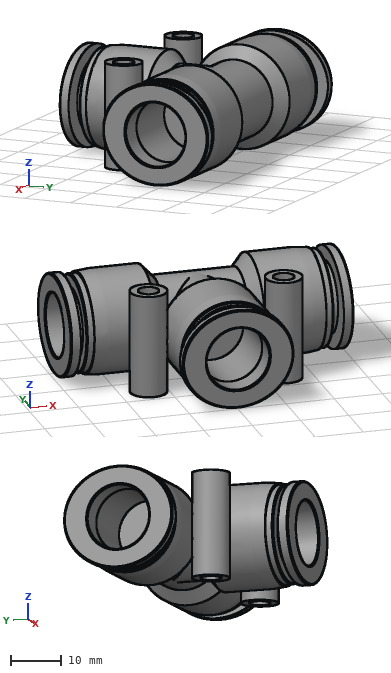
import cadquery as cq
import math

arm_reach = 29.3

tube_diameter = 16.0
barrel_diameter = 21.2
shoulder_diameter = 20.6
mouth_diameter = 20.0
mouth_depth = 3.7
shoulder_depth = 5.3
barrel_depth = 8.25
cone_depth = 18.15
cone_end_depth = 20.6
edge_chamfer = 0.25

sleeve_diameter = 14.8
bore_diameter = 13.0
sleeve_length = 5.15
flange_thickness = 2.05
flange_long_axis = 23.0
flange_short_axis = 20.6

bore_depth = cone_depth

lug_diameter = 7.5
lug_hole_diameter = 4.2
lug_height = barrel_diameter
lug_x = 14.0
lug_y = -14.0

arm_angles = [-90, 0, 90]


def place_arm(shape, angle):
    """Turn a shape built along the -Y arm about the tee centre."""
    return shape.rotate((0, 0, 0), (0, 0, 1), angle)


def arm_cylinder(diameter, start_depth, end_depth):
    """Cylinder on the axis of the -Y arm between two depths."""
    start = cq.Workplane("XZ", origin=(0, start_depth - arm_reach, 0))
    return start.circle(diameter / 2).extrude(start_depth - end_depth)


def make_arm_outside():
    """Barrel with a rounded shoulder, tapering to the tube at the tee centre."""
    barrel_radius = barrel_diameter / 2
    shoulder_radius = shoulder_diameter / 2
    mouth_radius = mouth_diameter / 2
    tube_radius = tube_diameter / 2
    profile = (
        cq.Workplane("XY")
        .moveTo(0, mouth_depth - arm_reach)
        .lineTo(mouth_radius - edge_chamfer, mouth_depth - arm_reach)
        .lineTo(mouth_radius, mouth_depth + edge_chamfer - arm_reach)
        .lineTo(mouth_radius, shoulder_depth - arm_reach)
        .lineTo(shoulder_radius, shoulder_depth - arm_reach)
    )
    run = barrel_depth - shoulder_depth
    rise = barrel_radius - shoulder_radius
    arc_radius = (run**2 + rise**2) / (2 * rise)
    half_angle = math.asin(run / arc_radius) / 2
    arc_middle = (
        barrel_radius - arc_radius * (1 - math.cos(half_angle)),
        barrel_depth - arm_reach - arc_radius * math.sin(half_angle),
    )
    profile = (
        profile.threePointArc(arc_middle, (barrel_radius, barrel_depth - arm_reach))
        .lineTo(barrel_radius, cone_depth - arm_reach)
        .lineTo(tube_radius, cone_end_depth - arm_reach)
        .lineTo(tube_radius, 0)
        .lineTo(0, 0)
        .close()
    )
    return profile.revolve(360, (0, 0, 0), (0, 1, 0))


def make_centre_tube():
    """Straight tube of the run, crossing the tee centre."""
    length = 2 * (arm_reach - cone_end_depth)
    start = cq.Workplane("YZ", origin=(-length / 2, 0, 0))
    return start.circle(tube_diameter / 2).extrude(length)


def make_lug_cylinder(diameter, side):
    """Vertical cylinder on a lug axis; side is -1 or 1 along X."""
    plane = cq.Workplane("XY", origin=(side * lug_x, lug_y, -lug_height / 2))
    return plane.circle(diameter / 2).extrude(lug_height)


def make_tee_body():
    body = make_centre_tube()
    for angle in arm_angles:
        body = body.union(place_arm(make_arm_outside(), angle))
    for side in (-1, 1):
        body = body.union(make_lug_cylinder(lug_diameter, side))
        body = body.cut(make_lug_cylinder(lug_hole_diameter, side))
    seat = arm_cylinder(sleeve_diameter, mouth_depth, sleeve_length)
    bore = arm_cylinder(bore_diameter, mouth_depth, bore_depth)
    for angle in arm_angles:
        body = body.cut(place_arm(seat, angle))
        body = body.cut(place_arm(bore, angle))
    return body


def make_release_sleeve():
    """Sleeve of the -Y arm: elliptical flange, round neck and through bore."""
    flange = (
        cq.Workplane("XZ", origin=(0, -arm_reach, 0))
        .ellipse(flange_long_axis / 2, flange_short_axis / 2)
        .extrude(-flange_thickness)
        .faces("<Y")
        .chamfer(edge_chamfer)
    )
    neck = arm_cylinder(sleeve_diameter, flange_thickness, sleeve_length)
    bore = arm_cylinder(bore_diameter, 0, sleeve_length)
    sleeve = flange.union(neck).cut(bore)
    return sleeve.faces("<Y").edges("%CIRCLE").chamfer(edge_chamfer)


tee_body = make_tee_body()
release_sleeves = [place_arm(make_release_sleeve(), angle) for angle in arm_angles]

result = cq.Compound.makeCompound(
    [tee_body.solids().val(), *[sleeve.solids().val() for sleeve in release_sleeves]]
)